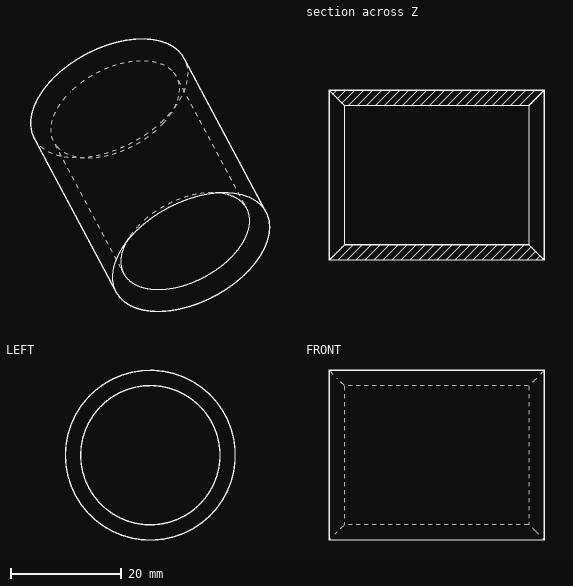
import cadquery as cq

length = 39.0
outer_diameter = 30.8
inner_diameter = 25.2

outer_radius = outer_diameter / 2
inner_radius = inner_diameter / 2
bevel_depth = outer_radius - inner_radius
half_length = length / 2

wall_section = (
    cq.Workplane("XY")
    .moveTo(-half_length, outer_radius)
    .lineTo(half_length, outer_radius)
    .lineTo(half_length - bevel_depth, inner_radius)
    .lineTo(-half_length + bevel_depth, inner_radius)
    .close()
)

result = wall_section.revolve(360, (0, 0, 0), (1, 0, 0))